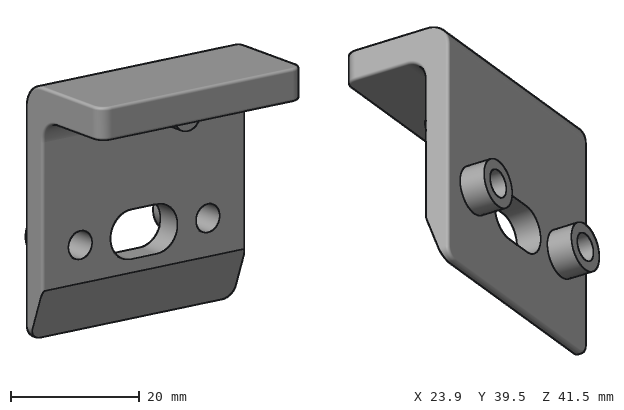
import cadquery as cq

width = 39.5
height = 41.5
flange_reach = 19.42
plate_thickness = 4.4
flange_thickness = 5.4

outer_bend_radius = 4.0
inner_bend_radius = 3.5
corner_radius = 2.1
edge_radius = 0.5

bevel_height = 8.6
bottom_thickness = 1.1

feature_z = 14.8
boss_diameter = 8.0
boss_length = 4.43
boss_spacing = 24.8
hole_diameter = 4.6
slot_length = 13.0
slot_height = 8.0

rib_radius = 2.5
rib_end_x = 15.6

underside_z = height - flange_thickness


def bent_plate():
    """L-shaped bracket with a rounded bend, rounded corners and softened edges."""
    body = (
        cq.Workplane("XZ")
        .moveTo(0, 0)
        .lineTo(0, height - outer_bend_radius)
        .radiusArc((outer_bend_radius, height), outer_bend_radius)
        .lineTo(flange_reach, height)
        .lineTo(flange_reach, underside_z)
        .lineTo(plate_thickness + inner_bend_radius, underside_z)
        .radiusArc((plate_thickness, underside_z - inner_bend_radius), -inner_bend_radius)
        .lineTo(plate_thickness, bevel_height)
        .lineTo(bottom_thickness, 0)
        .close()
        .extrude(width / 2, both=True)
    )
    body = round_flange_corners(body)
    body = round_plate_corners(body)
    return soften_edges(body)


def round_flange_corners(body):
    """Round the two free corners of the flange."""
    return body.faces(">X").edges("|Z").fillet(corner_radius)


def round_plate_corners(body):
    """Trim the two lower corners of the plate to a radius running along X."""
    envelope = (
        cq.Workplane("YZ")
        .rect(width, height)
        .extrude(flange_reach)
        .translate((0, 0, height / 2))
        .edges("|X and <Z")
        .fillet(corner_radius)
    )
    return body.intersect(envelope)


def soften_edges(body):
    """Round the rims of the outer face chain and of the inner face chain."""
    body = body.faces("<X").edges("<Z").fillet(edge_radius)
    return body.faces(">X").edges(">Z or <Z").fillet(edge_radius)


def half_round_rib():
    """Rod centred on the flange underside, so only its lower half stands proud."""
    rib_start_x = plate_thickness / 2
    return (
        cq.Workplane("YZ", origin=(rib_start_x, 0, underside_z))
        .circle(rib_radius)
        .extrude(rib_end_x - rib_start_x)
    )


def on_plate_face():
    """Sketch plane on the outer plate face, at the height of the bosses and slot."""
    return cq.Workplane("YZ", origin=(0, 0, feature_z))


boss_centres = [(-boss_spacing / 2, 0), (boss_spacing / 2, 0)]

bosses = on_plate_face().pushPoints(boss_centres).circle(boss_diameter / 2).extrude(-boss_length)
holes = (
    on_plate_face()
    .workplane(offset=-boss_length)
    .pushPoints(boss_centres)
    .circle(hole_diameter / 2)
    .extrude(boss_length + plate_thickness)
)
slot = on_plate_face().slot2D(slot_length, slot_height).extrude(plate_thickness)

result = bent_plate().union(half_round_rib()).union(bosses).cut(holes).cut(slot)